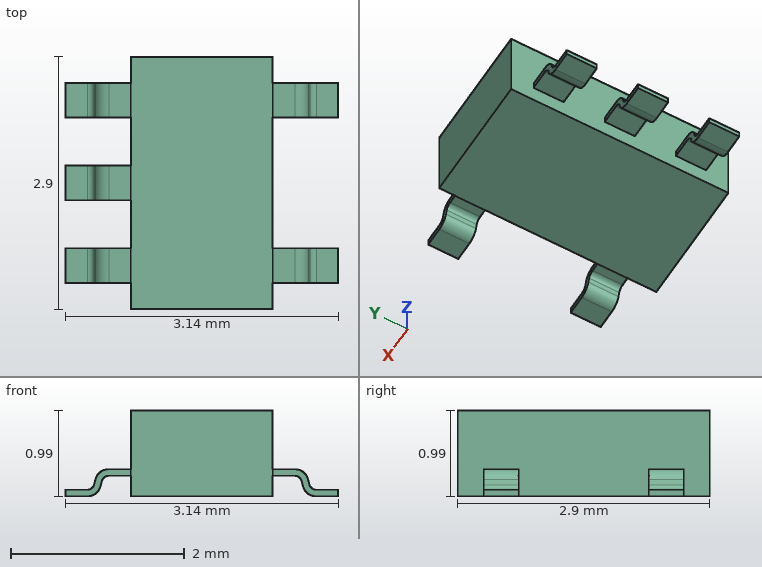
import cadquery as cq
import math

overall_span = 3.14
body_width = 1.633
body_length = 2.9
body_height = 0.99

lead_width = 0.402
lead_thickness = 0.08
lead_top_height = 0.315
lead_pitch = 0.95
foot_length = 0.255
inner_bend_radius = 0.08
bend_angle = 75.0
outer_bend_radius = inner_bend_radius + lead_thickness

bend_sine = math.sin(math.radians(bend_angle))
bend_cosine = math.cos(math.radians(bend_angle))
bends_rise = (inner_bend_radius + outer_bend_radius) * (1 - bend_cosine)
slope_rise = lead_top_height - lead_thickness - bends_rise
slope_run = slope_rise * bend_cosine / bend_sine
bends_run = (inner_bend_radius + outer_bend_radius) * bend_sine

toe_x = -overall_span / 2
lower_center = (toe_x + foot_length, outer_bend_radius)
upper_center = (
    lower_center[0] + bends_run + slope_run,
    lead_top_height - outer_bend_radius,
)


def lower_bend_point(radius, angle):
    """Point on the lower bend, turned by angle from the end of the foot."""
    turn = math.radians(angle)
    return (lower_center[0] + radius * math.sin(turn), lower_center[1] - radius * math.cos(turn))


def upper_bend_point(radius, angle):
    """Point on the upper bend, turned by angle from the start of the shoulder."""
    turn = math.radians(angle)
    return (upper_center[0] - radius * math.sin(turn), upper_center[1] + radius * math.cos(turn))


def make_body():
    """Plain rectangular package standing on the base plane."""
    return cq.Workplane("XY").box(body_width, body_length, body_height, centered=(True, True, False))


def make_lead(center_y):
    """Lead on the -X side, running from its toe to the package wall."""
    wall_x = -body_width / 2
    half_angle = bend_angle / 2
    return (
        cq.Workplane("XZ", origin=(0, center_y, 0))
        .moveTo(toe_x, 0)
        .lineTo(*lower_bend_point(outer_bend_radius, 0))
        .threePointArc(
            lower_bend_point(outer_bend_radius, half_angle),
            lower_bend_point(outer_bend_radius, bend_angle),
        )
        .lineTo(*upper_bend_point(inner_bend_radius, bend_angle))
        .threePointArc(
            upper_bend_point(inner_bend_radius, half_angle),
            upper_bend_point(inner_bend_radius, 0),
        )
        .lineTo(wall_x, lead_top_height - lead_thickness)
        .lineTo(wall_x, lead_top_height)
        .lineTo(*upper_bend_point(outer_bend_radius, 0))
        .threePointArc(
            upper_bend_point(outer_bend_radius, half_angle),
            upper_bend_point(outer_bend_radius, bend_angle),
        )
        .lineTo(*lower_bend_point(inner_bend_radius, bend_angle))
        .threePointArc(
            lower_bend_point(inner_bend_radius, half_angle),
            lower_bend_point(inner_bend_radius, 0),
        )
        .lineTo(toe_x, lead_thickness)
        .close()
        .extrude(lead_width / 2, both=True)
    )


body = make_body()

leads = []
for row in (-1, 0, 1):
    leads.append(make_lead(row * lead_pitch))
for row in (-1, 1):
    leads.append(make_lead(row * lead_pitch).mirror("YZ"))

result = cq.Compound.makeCompound([body.val(), *[lead.val() for lead in leads]])